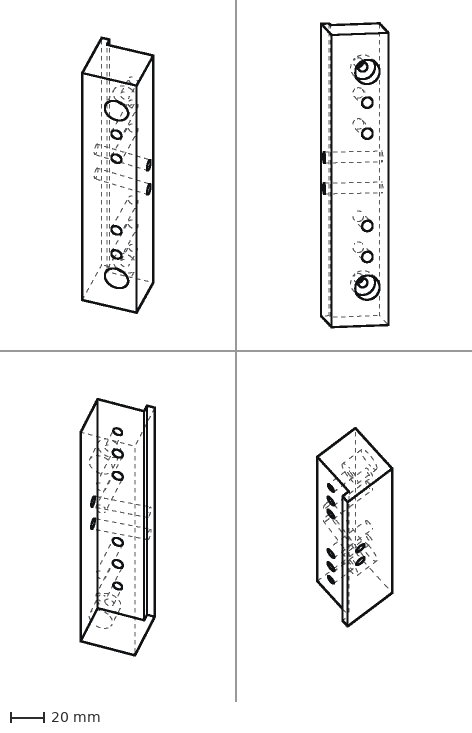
import cadquery as cq
import math

width = 35.0
depth = 35.0
height = 180.0

lip_thickness = 5.0
lip_depth = 5.0

front_hole_x = 22.0
screw_hole_offset = 66.5
plain_hole_offsets = (28.5, 47.5)
plain_hole_diameter = 6.5
screw_hole_diameter = 5.5
counterbore_diameter = 15.0
counterbore_depth = 15.0

side_hole_diameter = 6.5
side_hole_pitch = 19.0
side_hole_inset = 10.0
side_hole_tilt = math.radians(5)
side_hole_overrun = 9.0

middle_z = height / 2


def bar():
    """L-shaped profile extruded upward, with its front left corner at the origin."""
    body_depth = depth - lip_depth
    outline = [
        (0, 0),
        (width, 0),
        (width, body_depth),
        (lip_thickness, body_depth),
        (lip_thickness, depth),
        (0, depth),
    ]
    return cq.Workplane("XY").polyline(outline).close().extrude(height)


def front_bore(z, diameter, length):
    """Cylinder entering the front face at height z."""
    entry = cq.Vector(front_hole_x, 0, z)
    return cq.Solid.makeCylinder(diameter / 2, length, entry, cq.Vector(0, 1, 0))


def side_bore(z):
    """Through cylinder that leans toward the front as it crosses the bar."""
    direction = cq.Vector(math.cos(side_hole_tilt), -math.sin(side_hole_tilt), 0)
    entry = cq.Vector(0, depth - side_hole_inset, z)
    start = entry - direction * side_hole_overrun
    length = width / math.cos(side_hole_tilt) + 2 * side_hole_overrun
    return cq.Solid.makeCylinder(side_hole_diameter / 2, length, start, direction)


result = bar()

for side in (-1, 1):
    for offset in plain_hole_offsets:
        result = result.cut(front_bore(middle_z + side * offset, plain_hole_diameter, depth))
    screw_z = middle_z + side * screw_hole_offset
    result = result.cut(front_bore(screw_z, screw_hole_diameter, depth))
    result = result.cut(front_bore(screw_z, counterbore_diameter, counterbore_depth))

for side in (-1, 1):
    result = result.cut(side_bore(middle_z + side * side_hole_pitch / 2))